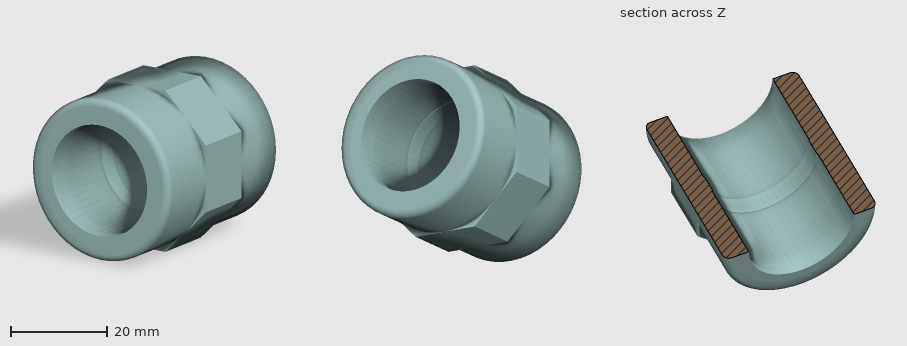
import cadquery as cq

length = 40.5
body_diameter = 35.0
across_flats = body_diameter
side_count = 8
band_length = 13.05
edge_radius = 1.5
socket_diameter = 24.1
bore_diameter = 23.8
socket_depth = 18.22


def cylinder_along_y(diameter, height):
    """Cylinder on the Y axis, centred on the origin."""
    return cq.Workplane("XZ").circle(diameter / 2).extrude(height / 2, both=True)


body = cylinder_along_y(body_diameter, length).edges().fillet(edge_radius)

band = (
    cq.Workplane("XZ")
    .polygon(side_count, across_flats, circumscribed=True)
    .extrude(band_length / 2, both=True)
)

bore = cylinder_along_y(bore_diameter, length)
for end in (-1, 1):
    end_socket = cylinder_along_y(socket_diameter, socket_depth)
    bore = bore.union(end_socket.translate((0, end * (length - socket_depth) / 2, 0)))

result = body.union(band).cut(bore)